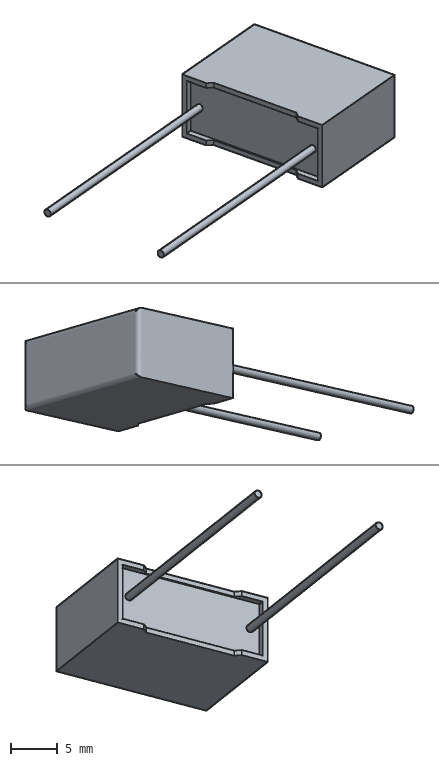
import cadquery as cq

overall_length = 40.6

case_width = 18.5
case_height = 7.7
case_length = 13.55
wall = 0.6
edge_radius = 0.5

notch_depth = 0.53
notch_floor_half_width = 5.45
notch_mouth_half_width = 6.05

fill_recess = 0.75

lead_diameter = 0.85
lead_pitch = 14.95
lead_reach = overall_length - case_length

cavity_width = case_width - 2 * wall
cavity_height = case_height - 2 * wall


def block(width, height, y_front, y_back):
    """Rectangular block centred on X and Z, spanning y_front to y_back."""
    return cq.Workplane("XY").box(width, y_back - y_front, height).translate((0, (y_front + y_back) / 2, 0))


def make_case():
    shell = block(case_width, case_height, 0, case_length)
    shell = shell.faces(">Y").edges().fillet(edge_radius)
    cavity = block(cavity_width, cavity_height, 0, case_length - wall)
    notch = (
        cq.Workplane("XY")
        .polyline([
            (-notch_mouth_half_width, 0),
            (-notch_floor_half_width, notch_depth),
            (notch_floor_half_width, notch_depth),
            (notch_mouth_half_width, 0),
        ])
        .close()
        .extrude(case_height / 2, both=True)
    )
    return shell.cut(cavity).cut(notch)


def make_fill():
    """Resin that fills the cavity behind the recessed mouth."""
    return block(cavity_width, cavity_height, fill_recess, case_length - wall)


def make_lead(x):
    """Round wire from the resin face out past the mouth."""
    return cq.Solid.makeCylinder(
        lead_diameter / 2,
        lead_reach + fill_recess,
        cq.Vector(x, fill_recess, 0),
        cq.Vector(0, -1, 0),
    )


case = make_case()
fill = make_fill()
leads = [make_lead(side * lead_pitch / 2) for side in (-1, 1)]

result = cq.Compound.makeCompound([case.val(), fill.val(), *leads])